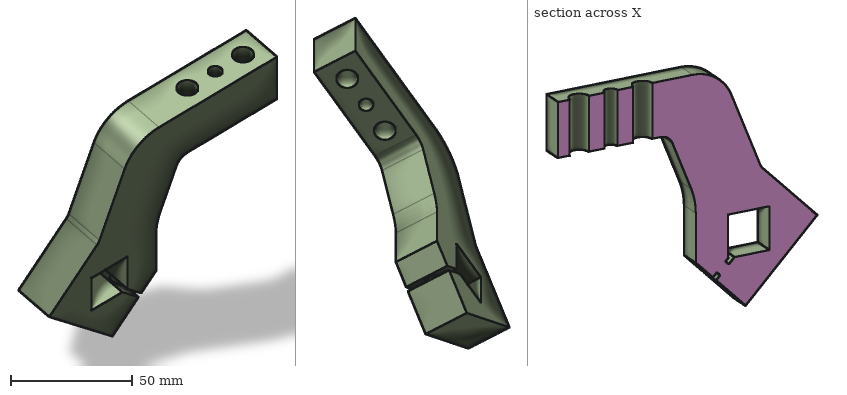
import cadquery as cq
import math

length = 122.5
height = 107.6
width = 20.0

arm_thickness = 25.0
leg_angle = 22.0
leg_front_top_y = 45.6
leg_back_top_y = 70.1

outer_bend_radius = 20.0
inner_bend_radius = 6.0
leg_back_radius = 30.0
leg_front_radius = 6.0

clamp_front_z = -73.6
clamp_back_y = 57.6

bore_size = 19.2
bore_front_y = 22.8
bore_top_z = -65.5

slot_width = 2.0
slot_reach = 49.0
pin_diameter = 6.0
pin_distance = 4.8
pin_embed = 1.2

hole_pitch = 15.0
first_hole_inset = 10.0
large_hole_diameter = 9.0
small_hole_diameter = 6.0

leg_slope = math.tan(math.radians(leg_angle))
diagonal = math.sqrt(0.5)

clamp_bottom_y = height + clamp_front_z
clamp_back_z = -height + (clamp_back_y - clamp_bottom_y)

outer_bend = (leg_front_top_y, 0)
inner_bend = (leg_back_top_y, -arm_thickness)
leg_back_foot = (clamp_back_y, -arm_thickness - (leg_back_top_y - clamp_back_y) / leg_slope)
leg_foot_z = (leg_front_top_y + clamp_front_z) / (1 - leg_slope)
leg_front_foot = (leg_front_top_y + leg_foot_z * leg_slope, leg_foot_z)

bore_corner = (bore_front_y + bore_size, bore_top_z - bore_size)


def extrude_profile(points):
    """Extrude a YZ outline symmetrically across the width."""
    return cq.Workplane("YZ").polyline(points).close().extrude(width / 2, both=True)


def round_corner(body, corner, radius):
    """Fillet the widthwise edge that passes through a YZ corner."""
    y, z = corner
    return body.edges(cq.selectors.NearestToPointSelector((0, y, z))).fillet(radius)


def make_body():
    body = extrude_profile([
        (length, 0),
        outer_bend,
        leg_front_foot,
        (0, clamp_front_z),
        (clamp_bottom_y, -height),
        (clamp_back_y, clamp_back_z),
        leg_back_foot,
        inner_bend,
        (length, -arm_thickness),
    ])
    body = round_corner(body, outer_bend, outer_bend_radius)
    body = round_corner(body, inner_bend, inner_bend_radius)
    body = round_corner(body, leg_back_foot, leg_back_radius)
    return round_corner(body, leg_front_foot, leg_front_radius)


def cut_arm_holes(body):
    diameters = (large_hole_diameter, small_hole_diameter, large_hole_diameter)
    for index, diameter in enumerate(diameters):
        y = length - first_hole_inset - index * hole_pitch
        hole = cq.Workplane("XY").center(0, y).circle(diameter / 2).extrude(-arm_thickness)
        body = body.cut(hole)
    return body


def make_bore():
    y, z = bore_corner
    return extrude_profile([
        (y, z),
        (y, bore_top_z),
        (bore_front_y, bore_top_z),
        (bore_front_y, z),
    ])


def make_slot():
    """Slot at 45 degrees with its back wall through the bore corner."""
    y, z = bore_corner
    wall = slot_width * diagonal
    reach = slot_reach * diagonal
    return extrude_profile([
        (y, z),
        (y + reach, z - reach),
        (y + reach - wall, z - reach - wall),
        (y - wall, z - wall),
        (y - 2 * wall, z),
    ])


def make_pin():
    """Pin bridging the slot at right angles to its walls."""
    y, z = bore_corner
    offset = pin_distance * diagonal
    embed = pin_embed * diagonal
    start = cq.Vector(0, y + offset + embed, z - offset + embed)
    axis = cq.Vector(0, -1, -1)
    pin = cq.Solid.makeCylinder(pin_diameter / 2, slot_width + 2 * pin_embed, start, axis)
    return cq.Workplane(pin)


result = cut_arm_holes(make_body()).cut(make_bore()).cut(make_slot()).union(make_pin())